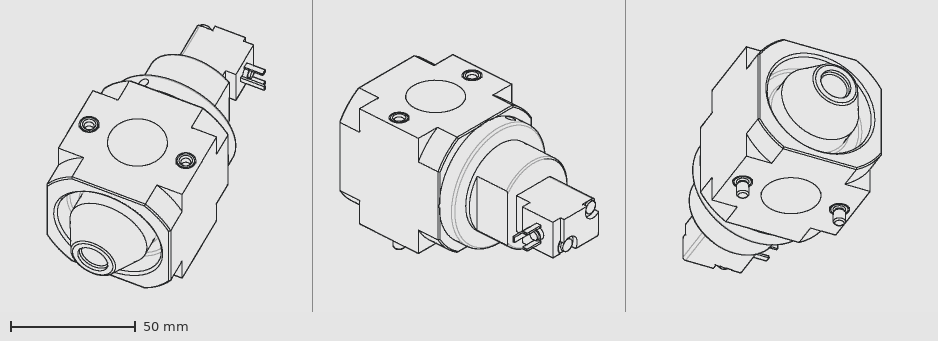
import cadquery as cq
import math


BLOCK_SIZE = 55.0
BLOCK_HALF = BLOCK_SIZE / 2
BORE_DIAMETER = 24.0
CORNER_DIAMETER = 63.9
CORNER_LENGTH = 11.3
END_CHAMFER = 0.6

RECESS_DIAMETER = 46.2
RECESS_DEPTH = 10.9
RECESS_CHAMFER = 1.1
FLOOR_FILLET = 1.0
KNOB_DIAMETER = 34.2
KNOB_TIP_DIAMETER = 19.9
KNOB_TIP_CHAMFER = 1.0
KNOB_TIP_CHAMFER_LENGTH = 0.5
KNOB_PROJECTION = 14.5
CONE_LENGTH = 14.8
KNOB_HOLE_DIAMETER = 12.0
KNOB_HOLE_DEPTH = 14.6
KNOB_MOUTH_DIAMETER = 13.3
KNOB_MOUTH_DEPTH = 1.5

SCREW_SPACING = 43.0
SCREW_PROJECTION = 6.8
SCREW_HOLE_DIAMETER = 8.0
SCREW_SHANK_DIAMETER = 7.0
THREAD_DIAMETER = 5.0
NECK_DIAMETER = 3.8
THREAD_START = 1.7
THREAD_CHAMFER_LENGTH = 0.7
NECK_TAPER_LENGTH = 0.6
SOCKET_MOUTH_DIAMETER = 5.4
SOCKET_DIAMETER = 4.0
SOCKET_CHAMFER_LENGTH = 1.0
SOCKET_DEPTH = 3.7
DRILL_POINT_LENGTH = 1.2

COLLAR_DIAMETER = 54.9
COLLAR_LENGTH = 7.7
COLLAR_FILLET = 1.0
SPANNER_HOLE_DIAMETER = 4.1
SPANNER_HOLE_DEPTH = 7.3
SPANNER_HOLE_FROM_BLOCK = 2.8
SPANNER_HOLE_ANGLE = 25
DRUM_DIAMETER = 40.1
DRUM_LENGTH = 18.7
DRUM_FILLET = 0.7
DRUM_FLAT_X = 15.4
DRUM_FLAT_START = 2.0

COIL_WIDTH = 20.4
COIL_HEIGHT = 17.1
COIL_LENGTH = 26.1
COIL_FILLET = 1.2
TERMINAL_BASE_LENGTH = 4.5
TERMINAL_BASE_WIDTH = 16.7
TERMINAL_BASE_END_GAP = 2.0
POCKET_DIAMETER = 8.9
POCKET_DEPTH = 2.3
POCKET_X = 6.89
POCKET_Z = 5.8
COIL_SCREW_DIAMETER = 5.6
COIL_SCREW_HEIGHT = 1.1

BOSS_DIAMETER = 5.4
BOSS_LENGTH = 2.0
BOSS_TIP_DIAMETER = 4.0
BOSS_TIP_LENGTH = 1.1
BOSS_FROM_END = 9.6
BLADE_WIDTH = 2.5
BLADE_THICKNESS = 1.0
BLADE_CHAMFER = 0.4
CONTACT_BLADE_LENGTH = 8.5
CONTACT_BLADE_Z = 3.8
EARTH_BLADE_LENGTH = 10.7
EARTH_BLADE_FROM_END = 13.8

FRONT_Y = -BLOCK_HALF
RECESS_FLOOR_Y = FRONT_Y + RECESS_DEPTH
TIP_Y = FRONT_Y - KNOB_PROJECTION
COLLAR_END_Y = BLOCK_HALF + COLLAR_LENGTH
DRUM_END_Y = COLLAR_END_Y + DRUM_LENGTH
COIL_END_Y = DRUM_END_Y + COIL_LENGTH


def rod(diameter, start_y, end_y, x=0, z=0):
    """Cylinder along Y between two Y positions."""
    sketch = cq.Workplane("XZ", origin=(x, start_y, z)).circle(diameter / 2)
    return sketch.extrude(start_y - end_y)


def box(x_range, y_range, z_range):
    """Box between the given X, Y and Z limits."""
    sizes = [high - low for low, high in (x_range, y_range, z_range)]
    corner = (x_range[0], y_range[0], z_range[0])
    return cq.Workplane("XY").box(*sizes, centered=False).translate(corner)


def make_block_body():
    """Cube whose four long corners are rounded near both ends."""
    full = cq.Workplane("XY").box(BLOCK_SIZE, BLOCK_SIZE, BLOCK_SIZE)
    middle = cq.Workplane("XY").box(BLOCK_SIZE, BLOCK_SIZE - 2 * CORNER_LENGTH, BLOCK_SIZE)
    rounded = full.intersect(rod(CORNER_DIAMETER, -BLOCK_HALF, BLOCK_HALF))
    rounded = rounded.faces("<Y or >Y").chamfer(END_CHAMFER)
    return rounded.union(middle)


def make_recess():
    """Round recess with a chamfered mouth and a rounded floor edge."""
    recess = rod(RECESS_DIAMETER, FRONT_Y, RECESS_FLOOR_Y)
    recess = recess.faces(">Y").edges().fillet(FLOOR_FILLET)
    mouth_radius = RECESS_DIAMETER / 2 + RECESS_CHAMFER
    mouth = cq.Solid.makeCone(
        mouth_radius, mouth_radius - RECESS_CHAMFER, RECESS_CHAMFER,
        cq.Vector(0, FRONT_Y, 0), cq.Vector(0, 1, 0),
    )
    return recess.union(cq.Workplane(mouth))


def make_knob():
    """Turned knob with a conical nose, a foot fillet and a blind stepped hole in its tip."""
    radius = KNOB_DIAMETER / 2
    tip_radius = KNOB_TIP_DIAMETER / 2
    hole_radius = KNOB_HOLE_DIAMETER / 2
    mouth_radius = KNOB_MOUTH_DIAMETER / 2
    mouth_end_y = TIP_Y + KNOB_MOUTH_DEPTH
    hole_floor_y = TIP_Y + KNOB_HOLE_DEPTH
    fillet_middle = FLOOR_FILLET * (1 - math.sqrt(0.5))
    profile = (
        cq.Workplane("XY")
        .moveTo(0, RECESS_FLOOR_Y)
        .lineTo(radius + FLOOR_FILLET, RECESS_FLOOR_Y)
        .threePointArc(
            (radius + fillet_middle, RECESS_FLOOR_Y - fillet_middle),
            (radius, RECESS_FLOOR_Y - FLOOR_FILLET),
        )
        .lineTo(radius, TIP_Y + CONE_LENGTH)
        .lineTo(tip_radius, TIP_Y + KNOB_TIP_CHAMFER_LENGTH)
        .lineTo(tip_radius - KNOB_TIP_CHAMFER, TIP_Y)
        .lineTo(mouth_radius, TIP_Y)
        .lineTo(mouth_radius, mouth_end_y)
        .lineTo(hole_radius, mouth_end_y + mouth_radius - hole_radius)
        .lineTo(hole_radius, hole_floor_y)
        .lineTo(0, hole_floor_y)
        .close()
    )
    return profile.revolve(360, (0, 0, 0), (0, 1, 0))


def make_housing():
    """Block with its flow bore, screw holes, front recess and knob."""
    housing = make_block_body().cut(make_recess()).union(make_knob())
    top = housing.copyWorkplane(cq.Workplane("XY", origin=(0, 0, BLOCK_HALF)))
    housing = top.circle(BORE_DIAMETER / 2).cutThruAll()
    screw_places = [(-SCREW_SPACING / 2, 0), (SCREW_SPACING / 2, 0)]
    top = housing.copyWorkplane(cq.Workplane("XY", origin=(0, 0, BLOCK_HALF)))
    return top.pushPoints(screw_places).circle(SCREW_HOLE_DIAMETER / 2).cutThruAll()


def make_screw(x):
    """Turned screw, flush with the top of the block and projecting below it."""
    shank = SCREW_SHANK_DIAMETER / 2
    thread = THREAD_DIAMETER / 2
    neck = NECK_DIAMETER / 2
    mouth = SOCKET_MOUTH_DIAMETER / 2
    socket = SOCKET_DIAMETER / 2
    top = BLOCK_HALF
    bottom = -BLOCK_HALF
    tip = bottom - SCREW_PROJECTION
    profile = (
        cq.Workplane("XZ")
        .moveTo(0, tip)
        .lineTo(neck, tip)
        .lineTo(thread, tip + THREAD_CHAMFER_LENGTH)
        .lineTo(thread, bottom - THREAD_START)
        .lineTo(neck, bottom - THREAD_START)
        .lineTo(neck, bottom - NECK_TAPER_LENGTH)
        .lineTo(neck + NECK_TAPER_LENGTH, bottom)
        .lineTo(shank, bottom)
        .lineTo(shank, top)
        .lineTo(mouth, top)
        .lineTo(socket, top - SOCKET_CHAMFER_LENGTH)
        .lineTo(socket, top - SOCKET_DEPTH)
        .lineTo(0, top - SOCKET_DEPTH - DRILL_POINT_LENGTH)
        .close()
    )
    return profile.revolve(360, (0, 0, 0), (0, 1, 0)).translate((x, 0, 0))


def make_collar():
    """Round collar against the block, with one radial spanner hole."""
    collar = rod(COLLAR_DIAMETER, BLOCK_HALF, COLLAR_END_Y)
    collar = collar.faces(">Y").edges().fillet(COLLAR_FILLET)
    angle = math.radians(SPANNER_HOLE_ANGLE)
    outward = cq.Vector(-math.sin(angle), 0, math.cos(angle))
    floor_radius = COLLAR_DIAMETER / 2 - SPANNER_HOLE_DEPTH
    floor_centre = outward * floor_radius + cq.Vector(0, BLOCK_HALF + SPANNER_HOLE_FROM_BLOCK, 0)
    hole = cq.Solid.makeCylinder(
        SPANNER_HOLE_DIAMETER / 2, 2 * SPANNER_HOLE_DEPTH, floor_centre, outward
    )
    return collar.cut(cq.Workplane(hole))


def make_drum():
    """Drum behind the collar, with a flat on its +X side."""
    drum = rod(DRUM_DIAMETER, COLLAR_END_Y, DRUM_END_Y)
    drum = drum.faces(">Y").edges().fillet(DRUM_FILLET)
    radius = DRUM_DIAMETER / 2
    flat = box(
        (DRUM_FLAT_X, radius), (COLLAR_END_Y + DRUM_FLAT_START, DRUM_END_Y), (-radius, radius)
    )
    return drum.cut(flat)


def make_coil():
    """Coil block with a terminal base and a sunk screw head in two opposite corners."""
    half_width = COIL_WIDTH / 2
    half_height = COIL_HEIGHT / 2
    coil = box((-half_width, half_width), (DRUM_END_Y, COIL_END_Y), (-half_height, half_height))
    coil = coil.edges("|Y and <X").fillet(COIL_FILLET)
    base_end_y = COIL_END_Y - TERMINAL_BASE_END_GAP
    base = box(
        (0, half_width + TERMINAL_BASE_LENGTH),
        (base_end_y - TERMINAL_BASE_WIDTH, base_end_y),
        (-half_height, half_height),
    )
    coil = coil.union(base)
    floor_y = COIL_END_Y - POCKET_DEPTH
    for side in (-1, 1):
        x = side * POCKET_X
        z = -side * POCKET_Z
        coil = coil.cut(rod(POCKET_DIAMETER, floor_y, COIL_END_Y, x, z))
        coil = coil.union(rod(COIL_SCREW_DIAMETER, floor_y, floor_y + COIL_SCREW_HEIGHT, x, z))
    return coil


def make_terminals():
    """Central boss, two contact blades and one earth blade, all pointing to +X."""
    base_x = COIL_WIDTH / 2 + TERMINAL_BASE_LENGTH
    boss_y = COIL_END_Y - BOSS_FROM_END
    earth_y = COIL_END_Y - EARTH_BLADE_FROM_END
    half_width = BLADE_WIDTH / 2
    half_thickness = BLADE_THICKNESS / 2

    face = cq.Workplane("YZ", origin=(base_x, boss_y, 0))
    terminals = face.circle(BOSS_DIAMETER / 2).extrude(BOSS_LENGTH)
    tip = face.circle(BOSS_TIP_DIAMETER / 2).extrude(BOSS_LENGTH + BOSS_TIP_LENGTH)
    terminals = terminals.union(tip)
    for z in (-CONTACT_BLADE_Z, CONTACT_BLADE_Z):
        blade = box(
            (base_x, base_x + CONTACT_BLADE_LENGTH),
            (boss_y - half_width, boss_y + half_width),
            (z - half_thickness, z + half_thickness),
        )
        terminals = terminals.union(blade.faces(">X").chamfer(BLADE_CHAMFER))
    earth_blade = box(
        (base_x, base_x + EARTH_BLADE_LENGTH),
        (earth_y - half_thickness, earth_y + half_thickness),
        (-half_width, half_width),
    )
    return terminals.union(earth_blade.faces(">X").chamfer(BLADE_CHAMFER))


def make_actuator():
    """Collar, drum, coil and terminals as one body behind the block."""
    return make_collar().union(make_drum()).union(make_coil()).union(make_terminals())


housing = make_housing()
actuator = make_actuator()
screws = [make_screw(x) for x in (-SCREW_SPACING / 2, SCREW_SPACING / 2)]

result = cq.Compound.makeCompound(
    [housing.val(), actuator.val(), *[screw.val() for screw in screws]]
)